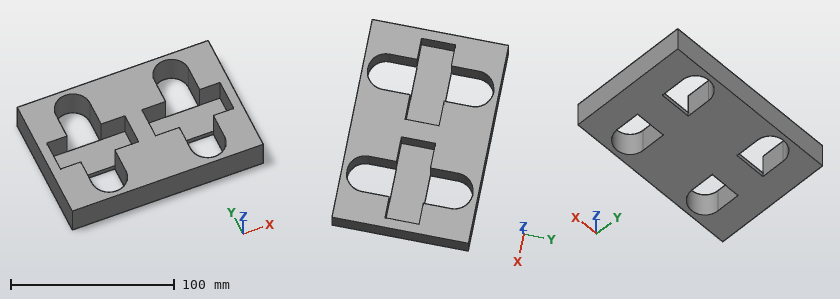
import cadquery as cq

plate_length = 127.0
plate_width = 85.0
plate_height = 20.0

slot_length = 78.2
slot_width = 22.6
slot_offset = 32.8

pocket_length = 52.0
pocket_width = 21.2
pocket_offset = 31.6
pocket_depth = 16.4
bridge_height = plate_height - pocket_depth


def pocket_block(center_x, bottom, height):
    """Block with the pocket's outline, rising from the given height."""
    return (
        cq.Workplane("XY", origin=(center_x, 0, bottom))
        .rect(pocket_length, pocket_width)
        .extrude(height)
    )


def through_slot(center_x):
    """Round-ended slot through the full plate height."""
    return (
        cq.Workplane("XY", origin=(center_x, 0, 0))
        .slot2D(slot_length, slot_width, 90)
        .extrude(plate_height)
    )


plate = cq.Workplane("XY").box(plate_length, plate_width, plate_height, centered=(True, True, False))
result = plate

for side in (-1, 1):
    pocket_x = side * pocket_offset
    result = result.cut(through_slot(side * slot_offset))
    result = result.cut(pocket_block(pocket_x, bridge_height, pocket_depth))
    result = result.union(pocket_block(pocket_x, 0, bridge_height))